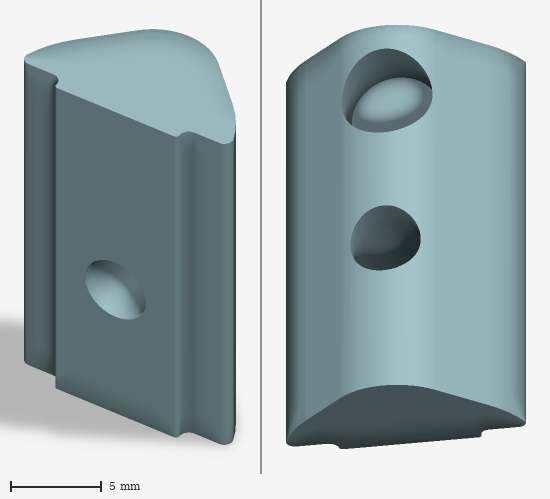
import cadquery as cq
import math

length = 22.0
width = 13.46
depth = 7.57

tongue_half_width = 4.0
shoulder_y = 0.85
tongue_edge_radius = 0.2
tongue_root_radius = 0.6

crown_radius = 3.75
slope_angle = math.radians(45)
flank_start_y = 3.98
lobe_radius = 0.5

through_diameter = 3.95
through_z = 9.02
pocket_diameter = 5.1
pocket_z = 18.02
pocket_depth = depth / 2


def point_on_circle(center, radius, angle):
    return (center[0] + radius * math.cos(angle), center[1] + radius * math.sin(angle))


def mirrored(point):
    return (-point[0], point[1])


normal_angle = math.pi / 2 - slope_angle
crown_center = (0, depth - crown_radius)
crown_end = point_on_circle(crown_center, crown_radius, normal_angle)

flank_start = (
    crown_end[0] + (crown_end[1] - flank_start_y) / math.tan(slope_angle),
    flank_start_y,
)
lobe_center = (width / 2 - lobe_radius, shoulder_y + lobe_radius)
offset_x = flank_start[0] - lobe_center[0]
offset_y = flank_start[1] - lobe_center[1]
offset_along_normal = offset_x * math.cos(normal_angle) + offset_y * math.sin(normal_angle)
flank_radius = (offset_x**2 + offset_y**2 - lobe_radius**2) / (
    2 * (offset_along_normal - lobe_radius)
)
flank_center = point_on_circle(flank_start, -flank_radius, normal_angle)
flank_end_angle = math.atan2(
    lobe_center[1] - flank_center[1], lobe_center[0] - flank_center[0]
)
flank_middle = point_on_circle(
    flank_center, flank_radius, (normal_angle + flank_end_angle) / 2
)
flank_end = point_on_circle(lobe_center, lobe_radius, flank_end_angle)

lobe_middle = point_on_circle(lobe_center, lobe_radius, 0)
lobe_end = (lobe_center[0], shoulder_y)


def make_bar():
    bar = (
        cq.Workplane("XY")
        .moveTo(-tongue_half_width, 0)
        .lineTo(tongue_half_width, 0)
        .lineTo(tongue_half_width, shoulder_y)
        .lineTo(*lobe_end)
        .threePointArc(lobe_middle, flank_end)
        .threePointArc(flank_middle, flank_start)
        .lineTo(*crown_end)
        .threePointArc((0, depth), mirrored(crown_end))
        .lineTo(*mirrored(flank_start))
        .threePointArc(mirrored(flank_middle), mirrored(flank_end))
        .threePointArc(mirrored(lobe_middle), mirrored(lobe_end))
        .lineTo(-tongue_half_width, shoulder_y)
        .close()
        .extrude(length)
    )
    for side in (-1, 1):
        tongue_x = side * tongue_half_width
        root = cq.selectors.NearestToPointSelector((tongue_x, shoulder_y, length / 2))
        bar = bar.edges(root).fillet(tongue_root_radius)
        corner = cq.selectors.NearestToPointSelector((tongue_x, 0, length / 2))
        bar = bar.edges(corner).fillet(tongue_edge_radius)
    return bar


def hole_from_back(diameter, z, hole_depth):
    """Cylinder entering from the crown and running toward the front face."""
    return (
        cq.Workplane("XZ", origin=(0, depth, z))
        .circle(diameter / 2)
        .extrude(hole_depth)
    )


through_hole = hole_from_back(through_diameter, through_z, depth)
pocket = hole_from_back(pocket_diameter, pocket_z, pocket_depth)

result = make_bar().cut(through_hole).cut(pocket)